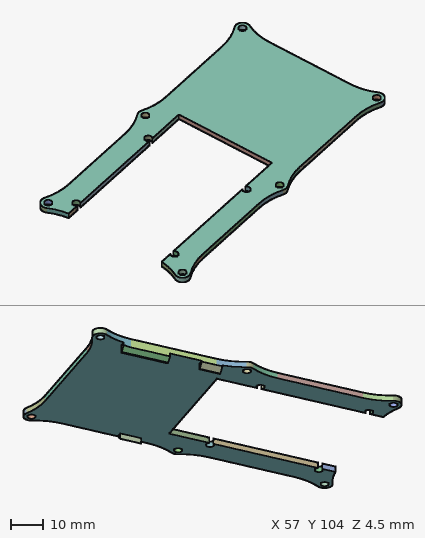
import cadquery as cq
import math

plate_length = 104.0
plate_width = 57.0
plate_thickness = 2.0

lug_radius = 2.5
hole_diameter = 2.5
blend_radius = 20.0
edge_x = plate_width / 2 - lug_radius
edge_y = plate_length / 2 - lug_radius

window_half_width = 18.0
window_top_y = 6.5

notch_diameter = 2.5
notch_setback = 1.0
notch_x = window_half_width + notch_setback
notch_y_positions = [-7.7, -44.4]

clip_width = 2.0
large_clip_center_y = 33.8
large_clip_length = 15.7
large_clip_depth = 2.5
large_clip_straight_depth = 1.0
small_clip_length = 7.0
small_clip_depth = 2.0
left_small_clip_center_y = 11.8
left_small_clip_straight_depth = 0.3
right_small_clip_center_y = 16.8


def blend_wedge(along_y):
    """One side of a lug's flare, from the lug centre to the arc tangent to lug and edge.

    The lug centre is the origin, the edge runs along +X and the outside is +Y.
    """
    centre_distance = blend_radius + lug_radius
    reach = math.sqrt(centre_distance**2 - blend_radius**2)
    lug_share = lug_radius / centre_distance
    lug_tangent = (reach * lug_share, blend_radius * lug_share)
    half_angle = math.atan2(reach, blend_radius) / 2
    arc_middle = (
        reach - blend_radius * math.sin(half_angle),
        blend_radius - blend_radius * math.cos(half_angle),
    )
    wedge = (
        cq.Workplane("XY")
        .lineTo(*lug_tangent)
        .threePointArc(arc_middle, (reach, 0))
        .close()
        .extrude(plate_thickness)
    )
    if along_y:
        wedge = wedge.rotate((0, 0, 0), (0, 0, 1), 90).mirror("YZ")
    return wedge


def corner_flare():
    """Flare of the (+X, +Y) corner lug, with the lug centre at the origin."""
    side_blend = blend_wedge(along_y=True).mirror("XZ")
    end_blend = blend_wedge(along_y=False).mirror("YZ")
    lug = cq.Workplane("XY").circle(lug_radius).extrude(plate_thickness)
    return lug.union(side_blend).union(end_blend)


def middle_flare():
    """Flare of the middle lug on the +X edge, with the lug centre at the origin."""
    side_blend = blend_wedge(along_y=True)
    lug = cq.Workplane("XY").circle(lug_radius).extrude(plate_thickness)
    return lug.union(side_blend).union(side_blend.mirror("XZ"))


def make_blank():
    """Plate with its lugs, before any cuts."""
    plate = cq.Workplane("XY").rect(2 * edge_x, 2 * edge_y).extrude(plate_thickness)

    upper_right = corner_flare().translate((edge_x, edge_y, 0))
    lower_right = upper_right.mirror("XZ")
    middle_right = middle_flare().translate((edge_x, 0, 0))
    for flare in (upper_right, middle_right, lower_right):
        plate = plate.union(flare).union(flare.mirror("YZ"))
    return plate


def cut_openings(plate):
    """Cut the window, the screw holes and the notches."""
    window_height = window_top_y + plate_length / 2
    window = (
        cq.Workplane("XY")
        .center(0, window_top_y - window_height / 2)
        .rect(2 * window_half_width, window_height)
        .extrude(plate_thickness)
    )
    hole_points = [(side * edge_x, y) for side in (-1, 1) for y in (-edge_y, 0, edge_y)]
    holes = cq.Workplane("XY").pushPoints(hole_points).circle(hole_diameter / 2).extrude(plate_thickness)
    notch_points = [(side * notch_x, y) for side in (-1, 1) for y in notch_y_positions]
    notches = cq.Workplane("XY").pushPoints(notch_points).circle(notch_diameter / 2).extrude(plate_thickness)
    return plate.cut(window).cut(holes).cut(notches)


def make_clip(side, center_y, length, depth, straight_depth):
    """Clip whose outer face follows the plate outline, then slopes inwards at 45 degrees."""
    inner_x = edge_x - clip_width
    slope_start_x = edge_x + straight_depth
    slope_end_x = slope_start_x - depth
    outline = [(inner_x, 0), (slope_start_x, 0), (slope_end_x, -depth)]
    if slope_end_x > inner_x:
        outline.append((inner_x, -depth))
    points = [(side * x, z) for x, z in outline]
    clip = cq.Workplane("XZ").polyline(points).close().extrude(length / 2, both=True)
    return clip.translate((0, center_y, 0)).intersect(clip_limit)


blank = make_blank()
clip_limit = blank.faces("<Z").wires().toPending().extrude(-large_clip_depth, combine=False)

large_clip = make_clip(
    -1, large_clip_center_y, large_clip_length, large_clip_depth, large_clip_straight_depth
)
left_small_clip = make_clip(
    -1, left_small_clip_center_y, small_clip_length, small_clip_depth, left_small_clip_straight_depth
)
right_small_clip = make_clip(1, right_small_clip_center_y, small_clip_length, small_clip_depth, 0)

result = cut_openings(blank).union(large_clip).union(left_small_clip).union(right_small_clip)